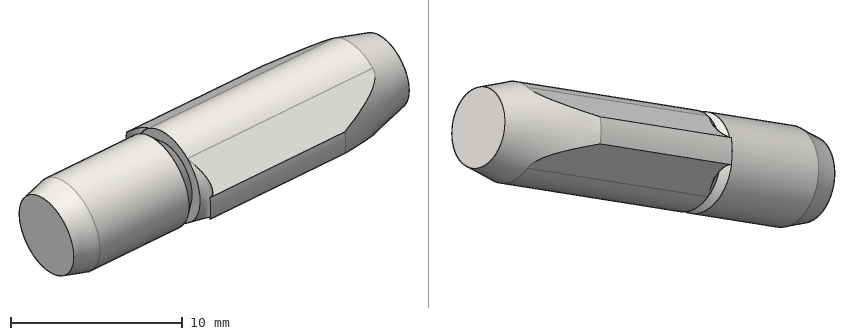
import cadquery as cq
import math

length = 25.0
pin_radius = 3.0
wing_radius = 4.0
wing_flat_angle = 37.0
shoulder = 9.02
neck_radius = 2.25
neck_length = 0.82
taper_angle = 15.0
shank_taper_length = 1.6
head_tip_radius = 2.4

taper_slope = math.tan(math.radians(taper_angle))
shank_tip_radius = pin_radius - shank_taper_length * taper_slope
head_taper_length = (wing_radius - head_tip_radius) / taper_slope
half_length = length / 2
shoulder_y = shoulder - half_length
groove_radius = (wing_radius - pin_radius) / 2


def revolve_about_y(profile):
    return profile.close().revolve(360, (0, 0, 0), (0, 1, 0))


def make_shank():
    """Round shank with a tapered tip and a conical neck below the head."""
    return revolve_about_y(
        cq.Workplane("XY")
        .moveTo(0, -half_length)
        .lineTo(shank_tip_radius, -half_length)
        .lineTo(pin_radius, -half_length + shank_taper_length)
        .lineTo(pin_radius, shoulder_y - neck_length)
        .lineTo(neck_radius, shoulder_y)
        .lineTo(0, shoulder_y)
    )


def make_head_blank():
    """Turned head with a tapered tip and a semicircular groove in its shoulder."""
    return revolve_about_y(
        cq.Workplane("XY")
        .moveTo(0, shoulder_y)
        .lineTo(pin_radius, shoulder_y)
        .threePointArc(
            (pin_radius + groove_radius, shoulder_y + groove_radius),
            (wing_radius, shoulder_y),
        )
        .lineTo(wing_radius, half_length - head_taper_length)
        .lineTo(head_tip_radius, half_length)
        .lineTo(0, half_length)
    )


def make_head_section():
    """Prism along Y: round top and bottom with flats tangent to them, meeting at the sides."""
    angle = math.radians(wing_flat_angle)
    tangent_x = pin_radius * math.sin(angle)
    tangent_z = pin_radius * math.cos(angle)
    apex_x = pin_radius / math.sin(angle)
    return (
        cq.Workplane("XZ", origin=(0, half_length, 0))
        .moveTo(-tangent_x, tangent_z)
        .threePointArc((0, pin_radius), (tangent_x, tangent_z))
        .lineTo(apex_x, 0)
        .lineTo(tangent_x, -tangent_z)
        .threePointArc((0, -pin_radius), (-tangent_x, -tangent_z))
        .lineTo(-apex_x, 0)
        .close()
        .extrude(length - shoulder)
    )


head = make_head_blank().intersect(make_head_section())
result = make_shank().union(head)